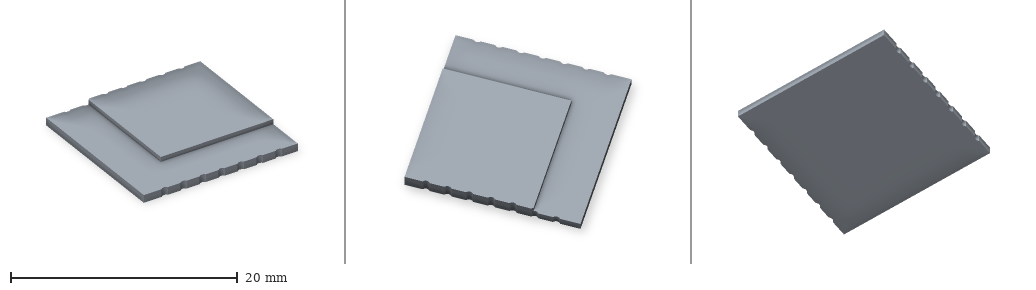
import cadquery as cq

PLATE_WIDTH = 15.8
PLATE_LENGTH = 16.2
PLATE_THICKNESS = 0.8

COVER_SIDE = 11.85
TOTAL_HEIGHT = 1.3
COVER_THICKNESS = TOTAL_HEIGHT - PLATE_THICKNESS

NOTCH_COUNT = 7
FIRST_NOTCH = 2.0
LAST_NOTCH = 14.0
NOTCH_PITCH = (LAST_NOTCH - FIRST_NOTCH) / (NOTCH_COUNT - 1)
NOTCH_RADIUS = 0.4
NOTCH_DEPTH = 0.16
NOTCH_OFFSET = NOTCH_RADIUS - NOTCH_DEPTH

LEFT_EDGE = -PLATE_WIDTH / 2
RIGHT_EDGE = PLATE_WIDTH / 2
BACK_EDGE = PLATE_LENGTH / 2


def make_notch_cutters():
    """Vertical cylinders through the full height, beside both side edges."""
    centers = []
    for index in range(NOTCH_COUNT):
        y = BACK_EDGE - FIRST_NOTCH - index * NOTCH_PITCH
        centers.append((LEFT_EDGE - NOTCH_OFFSET, y))
        centers.append((RIGHT_EDGE + NOTCH_OFFSET, y))
    return cq.Workplane("XY").pushPoints(centers).circle(NOTCH_RADIUS).extrude(TOTAL_HEIGHT)


def make_plate(notch_cutters):
    """Flat plate with notched left and right edges."""
    plate = cq.Workplane("XY").box(
        PLATE_WIDTH, PLATE_LENGTH, PLATE_THICKNESS, centered=(True, True, False)
    )
    return plate.cut(notch_cutters)


def make_cover(notch_cutters):
    """Square cover resting on the plate, sharing the notches of its left edge."""
    cover = (
        cq.Workplane("XY", origin=(LEFT_EDGE, BACK_EDGE - COVER_SIDE, PLATE_THICKNESS))
        .box(COVER_SIDE, COVER_SIDE, COVER_THICKNESS, centered=False)
    )
    return cover.cut(notch_cutters)


notch_cutters = make_notch_cutters()
plate = make_plate(notch_cutters)
cover = make_cover(notch_cutters)

result = cq.Compound.makeCompound([plate.solids().val(), cover.solids().val()])